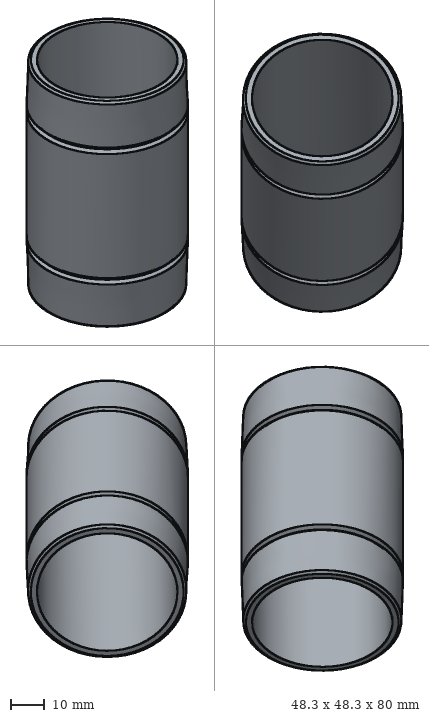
import cadquery as cq

length = 80.0
outer_diameter = 48.3
wall = 3.2
end_zone = 18.0
groove_width = 2.2
groove_floor_width = 0.6
groove_depth = 1.4
taper = 1 / 16
chamfer_height = 0.75
chamfer_depth = 0.85

outer_radius = outer_diameter / 2
inner_radius = outer_radius - wall
half_length = length / 2

barrel_end = half_length - end_zone
groove_middle = barrel_end + groove_width / 2
groove_end = barrel_end + groove_width
groove_radius = outer_radius - groove_depth
groove_flank = (groove_width - groove_floor_width) / 2

chamfer_start = half_length - chamfer_height


def taper_radius(height):
    """Radius of the tapered end, which has the barrel radius at the middle of the groove."""
    return outer_radius - (height - groove_middle) * taper / 2


face_radius = taper_radius(chamfer_start) - chamfer_depth


def upper_outline():
    """(radius, height) points of the outer surface, from the barrel up to the end face."""
    return [
        (outer_radius, barrel_end),
        (groove_radius, barrel_end + groove_flank),
        (groove_radius, groove_end - groove_flank),
        (taper_radius(groove_end), groove_end),
        (taper_radius(chamfer_start), chamfer_start),
        (face_radius, half_length),
        (inner_radius, half_length),
    ]


def nipple():
    """Pipe nipple with two identical tapered ends, revolved around Z."""
    upper = upper_outline()
    lower = [(radius, -height) for radius, height in reversed(upper)]
    axis_start = (0, 0, 0)
    axis_end = (0, 1, 0)
    section = cq.Workplane("XZ").polyline(lower + upper).close()
    return section.revolve(360, axis_start, axis_end)


result = nipple()